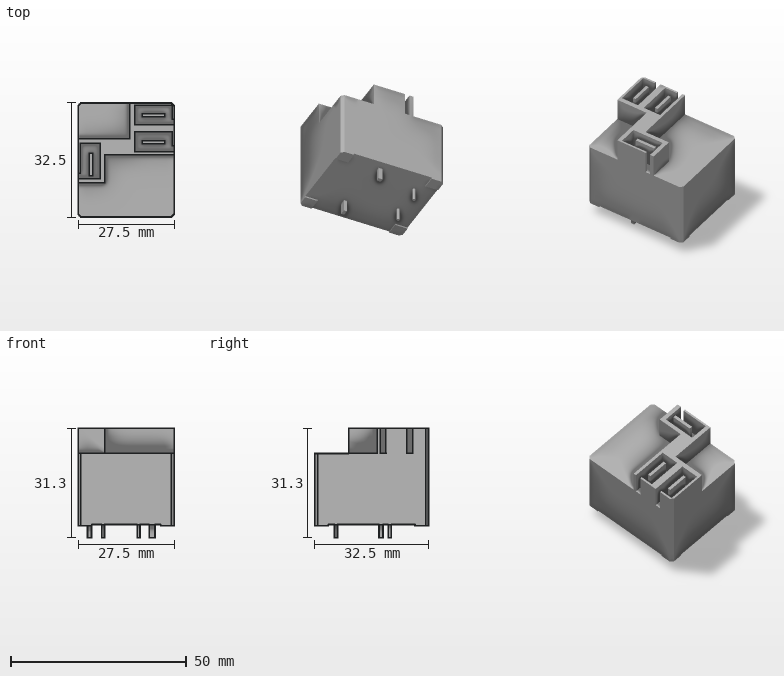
import cadquery as cq


width = 27.45
depth = 32.5
height = 31.25
corner_chamfer = 0.85
foot_z = 3.38
underside_z = 3.8
shoulder_z = 24.1
foot_size = 3.93

block_left = 14.75
block_front = 17.78
arm_front = 9.72
arm_back = 22.35
arm_right = 7.57

right_socket_left = 16.12
right_socket_size_y = 5.6
right_socket_fronts = (18.65, 26.27)
right_slot_width = 1.65
right_wall = 0.6
right_blade_left = 18.25
right_blade_length = 6.55
right_blade_offset = 2.25

left_socket_right = 6.37
left_socket_front = 11.0
left_socket_size_y = 10.1
left_slot_width = 1.53
left_wall = 0.6
left_blade_left = 3.22
left_blade_front = 11.83
left_blade_length = 6.35

blade_thickness = 0.9
blade_top = 30.98

round_pin_diameter = 0.9
round_pin_y = 6.08
round_pin_xs = (7.15, 17.25)
square_pin_center = (3.25, 18.9)
square_pin_size = 1.2
flat_pin_center = (21.1, 21.4)
flat_pin_size = (1.75, 0.9)


def box(x, y, z, size_x, size_y, top):
    """Box from its minimum corner, plan size and top height."""
    return cq.Workplane("XY").box(size_x, size_y, top - z, centered=False).translate((x, y, z))


def make_housing():
    block_outline = [
        (0, arm_front),
        (arm_right, arm_front),
        (arm_right, block_front),
        (width, block_front),
        (width, depth),
        (block_left, depth),
        (block_left, arm_back),
        (0, arm_back),
    ]
    block = (
        cq.Workplane("XY")
        .workplane(offset=shoulder_z)
        .polyline(block_outline)
        .close()
        .extrude(height - shoulder_z)
    )
    envelope = box(0, 0, foot_z, width, depth, height).edges("|Z").chamfer(corner_chamfer)
    return box(0, 0, foot_z, width, depth, shoulder_z).union(block).intersect(envelope)


def cut_underside(body):
    """Cross-shaped relief that leaves a foot at each corner."""
    along_x = box(0, foot_size, foot_z, width, depth - 2 * foot_size, underside_z)
    along_y = box(foot_size, 0, foot_z, width - 2 * foot_size, depth, underside_z)
    return body.cut(along_x).cut(along_y)


def add_right_terminal(body, front):
    pocket_length = width - right_wall - right_socket_left
    pocket = box(right_socket_left, front, shoulder_z, pocket_length, right_socket_size_y, height)
    slot = box(width - right_wall, front, shoulder_z, right_wall, right_slot_width, height)
    blade = box(
        right_blade_left,
        front + right_blade_offset,
        shoulder_z,
        right_blade_length,
        blade_thickness,
        blade_top,
    )
    return body.cut(pocket).cut(slot).union(blade)


def add_left_terminal(body):
    pocket_width = left_socket_right - left_wall
    pocket = box(left_wall, left_socket_front, shoulder_z, pocket_width, left_socket_size_y, height)
    slot = box(0, left_socket_front, shoulder_z, left_wall, left_slot_width, height)
    blade = box(
        left_blade_left,
        left_blade_front,
        shoulder_z,
        blade_thickness,
        left_blade_length,
        blade_top,
    )
    return body.cut(pocket).cut(slot).union(blade)


def add_pins(body):
    round_pins = (
        cq.Workplane("XY")
        .pushPoints([(x, round_pin_y) for x in round_pin_xs])
        .circle(round_pin_diameter / 2)
        .extrude(underside_z)
    )
    square_pin = (
        cq.Workplane("XY")
        .center(*square_pin_center)
        .rect(square_pin_size, square_pin_size)
        .extrude(underside_z)
    )
    flat_pin = cq.Workplane("XY").center(*flat_pin_center).rect(*flat_pin_size).extrude(underside_z)
    return body.union(round_pins).union(square_pin).union(flat_pin)


result = cut_underside(make_housing())
for socket_front in right_socket_fronts:
    result = add_right_terminal(result, socket_front)
result = add_left_terminal(result)
result = add_pins(result)